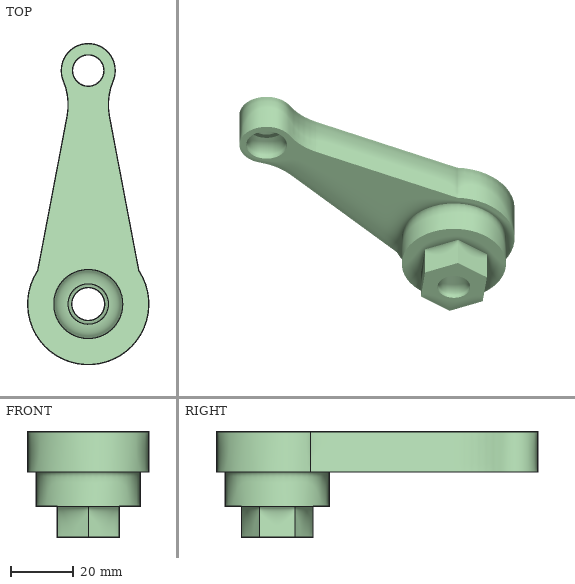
import cadquery as cq
import math


arm_thickness = 13.0
hub_diameter = 39.0
eye_diameter = 17.4
pivot_to_eye = 75.0
hub_corner_y = 10.75
flank_half_width_at_eye = 4.05
neck_radius = 20.0

boss_diameter = 33.5
boss_height = 11.0
hex_across_flats = 20.0
hex_height = 10.0
hex_corners = 6

recess_diameter = 22.2
recess_depth = 7.0
seat_diameter = 13.0
seat_depth = 1.0
pivot_hole_diameter = 10.5

eye_hole_diameter = 10.0
eye_hole_length = 4.0
eye_counterbore_diameter = 13.1

total_height = arm_thickness + boss_height + hex_height


def half_width(diameter, offset):
    """Half chord of a circle at a given distance from its centre."""
    return math.sqrt((diameter / 2) ** 2 - offset ** 2)


def cylinder_down(diameter, height, top_z, centre_y=0.0):
    """Vertical cylinder whose top face lies at top_z."""
    return cq.Workplane("XY", origin=(0, centre_y, top_z)).circle(diameter / 2).extrude(-height)


def make_arm():
    """Tapered lever plate with a round hub, a hollow neck and a round eye."""
    eye_radius = eye_diameter / 2
    hub_corner_x = half_width(hub_diameter, hub_corner_y)

    lean = math.atan2(hub_corner_x - flank_half_width_at_eye, pivot_to_eye - hub_corner_y)
    normal_x = math.cos(lean)
    normal_y = math.sin(lean)

    eye_to_neck_centre = eye_radius + neck_radius
    normal_distance = flank_half_width_at_eye * normal_x + neck_radius
    along_distance = math.sqrt(eye_to_neck_centre ** 2 - normal_distance ** 2)
    neck_centre_x = normal_distance * normal_x + along_distance * normal_y
    neck_centre_y = pivot_to_eye + normal_distance * normal_y - along_distance * normal_x

    flank_end = (neck_centre_x - neck_radius * normal_x, neck_centre_y - neck_radius * normal_y)
    eye_share = eye_radius / eye_to_neck_centre
    neck_end = (neck_centre_x * eye_share, pivot_to_eye + (neck_centre_y - pivot_to_eye) * eye_share)

    eye_direction = math.atan2(pivot_to_eye - neck_centre_y, neck_centre_x)
    neck_middle_angle = (eye_direction - lean) / 2
    neck_middle = (
        neck_centre_x - neck_radius * math.cos(neck_middle_angle),
        neck_centre_y + neck_radius * math.sin(neck_middle_angle),
    )

    def mirrored(point):
        return (-point[0], point[1])

    hub_corner = (hub_corner_x, hub_corner_y)
    return (
        cq.Workplane("XY")
        .moveTo(*hub_corner)
        .lineTo(*flank_end)
        .threePointArc(neck_middle, neck_end)
        .threePointArc((0, pivot_to_eye + eye_radius), mirrored(neck_end))
        .threePointArc(mirrored(neck_middle), mirrored(flank_end))
        .lineTo(*mirrored(hub_corner))
        .threePointArc((0, -hub_diameter / 2), hub_corner)
        .close()
        .extrude(-arm_thickness)
    )


def make_spigot():
    """Round boss under the hub, ending in a hexagon with two corners on the Y axis."""
    boss = cylinder_down(boss_diameter, boss_height, -arm_thickness)
    across_corners = hex_across_flats / math.cos(math.pi / hex_corners)
    hexagon = (
        cq.Workplane("XY", origin=(0, 0, -arm_thickness - boss_height))
        .transformed(rotate=(0, 0, 90))
        .polygon(hex_corners, across_corners)
        .extrude(-hex_height)
    )
    return boss.union(hexagon)


def make_hub_bore():
    """Wide recess, shallow seat and through hole on the pivot axis."""
    recess = cylinder_down(recess_diameter, recess_depth, 0)
    seat = cylinder_down(seat_diameter, seat_depth, -recess_depth)
    through_hole = cylinder_down(pivot_hole_diameter, total_height, 0)
    return recess.union(seat).union(through_hole)


def make_eye_bore():
    """Through hole in the eye, counterbored from the underside."""
    through_hole = cylinder_down(eye_hole_diameter, arm_thickness, 0, pivot_to_eye)
    counterbore_depth = arm_thickness - eye_hole_length
    counterbore = cylinder_down(eye_counterbore_diameter, counterbore_depth, -eye_hole_length, pivot_to_eye)
    return through_hole.union(counterbore)


result = make_arm().union(make_spigot()).cut(make_hub_bore()).cut(make_eye_bore())